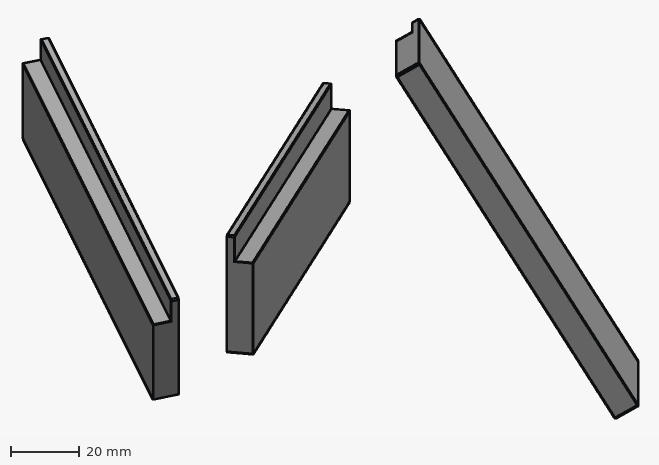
import cadquery as cq

length = 125.0
depth = 8.0
height = 37.0

lip_thickness = 2.5
lip_height = 8.0

corner_chamfer = 0.5
edge_chamfer = 0.2

shelf_height = height - lip_height
shelf_depth = depth - lip_thickness
tolerance = 0.01


def is_outer_edge(edge):
    """True for edges of the front, back and lip faces and for the two ends of the shelf."""
    center = edge.Center()
    on_front_or_back = min(abs(center.y), abs(center.y - depth)) < tolerance
    at_shelf_level = abs(center.z - shelf_height) < tolerance
    on_lip_face = abs(center.y - shelf_depth) < tolerance and not at_shelf_level
    at_end = abs(abs(center.x) - length / 2) < tolerance
    return on_front_or_back or on_lip_face or (at_shelf_level and at_end)


plate = cq.Workplane("XY").box(length, depth, height, centered=(True, False, False))
plate = plate.edges("|Y").chamfer(corner_chamfer)

step = (
    cq.Workplane("XY", origin=(0, 0, shelf_height))
    .box(length, shelf_depth, lip_height, centered=(True, False, False))
)
stepped_plate = plate.cut(step)

outer_edges = [edge for edge in stepped_plate.edges().vals() if is_outer_edge(edge)]
result = stepped_plate.newObject(outer_edges).chamfer(edge_chamfer)